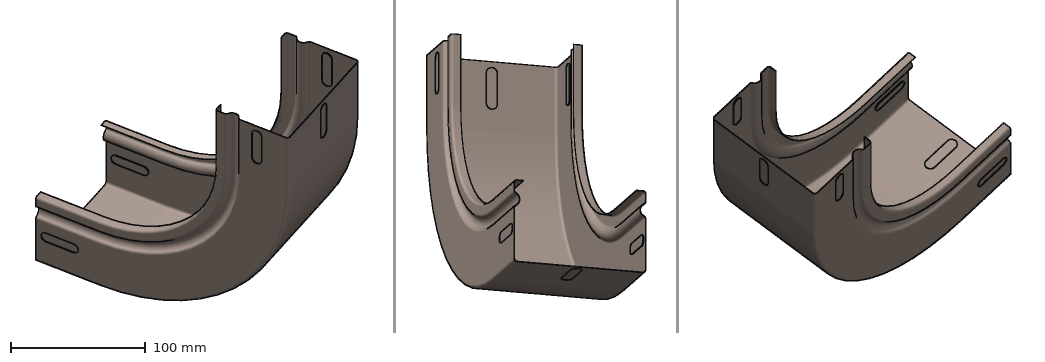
import cadquery as cq
import math

overall_size = 218.5
tray_width = 102.7
tray_depth = 63.5
arm_length = 54.6
sheet = 0.5
floor_fold_radius = 2.6
lip_fold_radius = 2.2
lip_width = 7.5

groove_height = 48.5
groove_depth = 4.2
groove_radius = 5.0
groove_edge_radius = 2.2

slot_length = 32.1
slot_width = 8.5
slot_end_gap = 4.5
slot_height = 27.5
slot_recess = 0.2
slot_rise = 0.5

touch_tolerance = 2.19e-06

wall_y = tray_width / 2
bend_axis_z = overall_size - arm_length
slot_center_x = slot_end_gap + slot_length / 2

groove_center_y = wall_y + groove_radius - groove_depth
edge_center_y = wall_y - groove_edge_radius
edge_angle = math.acos((groove_center_y - edge_center_y) / (groove_radius + groove_edge_radius))
groove_half_width = (groove_radius + groove_edge_radius) * math.sin(edge_angle)


def arc_point(center, radius, angle):
    """Point on an arc, with the angle measured from +Y towards +Z."""
    return (center[0] + radius * math.cos(angle), center[1] + radius * math.sin(angle))


def wall_arcs(inset):
    """Arcs of one wall face from floor to lip as (centre, radius, start, end)."""
    floor_fold_center = (wall_y - floor_fold_radius, floor_fold_radius)
    lip_fold_center = (wall_y - lip_fold_radius, tray_depth - lip_fold_radius)
    edge = groove_edge_radius - inset
    groove = groove_radius + inset
    lower_edge_z = groove_height - groove_half_width
    upper_edge_z = groove_height + groove_half_width
    return [
        (floor_fold_center, floor_fold_radius - inset, -math.pi / 2, 0),
        ((edge_center_y, lower_edge_z), edge, 0, edge_angle),
        ((groove_center_y, groove_height), groove, math.pi + edge_angle, math.pi - edge_angle),
        ((edge_center_y, upper_edge_z), edge, -edge_angle, 0),
        (lip_fold_center, lip_fold_radius - inset, 0, math.pi / 2),
    ]


def trace_arcs(outline, previous_end, arcs):
    """Draw the arcs in order, with a straight line wherever two do not touch."""
    for center, radius, start_angle, end_angle in arcs:
        start = arc_point(center, radius, start_angle)
        middle = arc_point(center, radius, (start_angle + end_angle) / 2)
        end = arc_point(center, radius, end_angle)
        if math.dist(previous_end, start) > touch_tolerance:
            outline = outline.lineTo(*start)
        outline = outline.threePointArc(middle, end)
        previous_end = end
    return outline


def half_section():
    """Sheet section from the floor centreline to one lip, where the bend starts."""
    lip_edge_y = wall_y - lip_width
    inner_arcs = [
        (center, radius, end_angle, start_angle)
        for center, radius, start_angle, end_angle in reversed(wall_arcs(sheet))
    ]
    lip_inner_corner = (lip_edge_y, tray_depth - sheet)
    outline = cq.Workplane("YZ", origin=(arm_length, 0, 0)).moveTo(0, 0)
    outline = trace_arcs(outline, (0, 0), wall_arcs(0))
    outline = outline.lineTo(lip_edge_y, tray_depth).lineTo(*lip_inner_corner)
    outline = trace_arcs(outline, lip_inner_corner, inner_arcs)
    return outline.lineTo(0, sheet).close()


def turn_to_end_arm(body):
    """Rotate a body through the bend, a quarter turn about the bend axis."""
    return body.rotate((arm_length, 0, bend_axis_z), (arm_length, 1, bend_axis_z), -90)


def slot_prisms(depth_from, depth_to):
    """Slot prisms on all faces of both arms, between two depths below the outer face."""
    height = depth_to - depth_from
    floor_slot = (
        cq.Workplane("XY", origin=(slot_center_x, 0, depth_from))
        .slot2D(slot_length, slot_width)
        .extrude(height)
    )
    front_slot = (
        cq.Workplane("XZ", origin=(slot_center_x, depth_from - wall_y, slot_height))
        .slot2D(slot_length, slot_width)
        .extrude(-height)
    )
    start_slots = floor_slot.union(front_slot).union(front_slot.mirror("XZ"))
    end_slots = turn_to_end_arm(start_slots.mirror("YZ", (arm_length, 0, 0)))
    return start_slots.union(end_slots)


start_arm = half_section().extrude(-arm_length)
bend = half_section().revolve(90, (0, bend_axis_z), (-1, bend_axis_z))
end_arm = turn_to_end_arm(half_section().extrude(arm_length))
half_tray = start_arm.union(bend).union(end_arm)

tray = half_tray.union(half_tray.mirror("XZ"))

raised_slots = slot_prisms(slot_recess, sheet + slot_rise)
recesses = slot_prisms(0, slot_recess)
result = tray.union(raised_slots).cut(recesses)